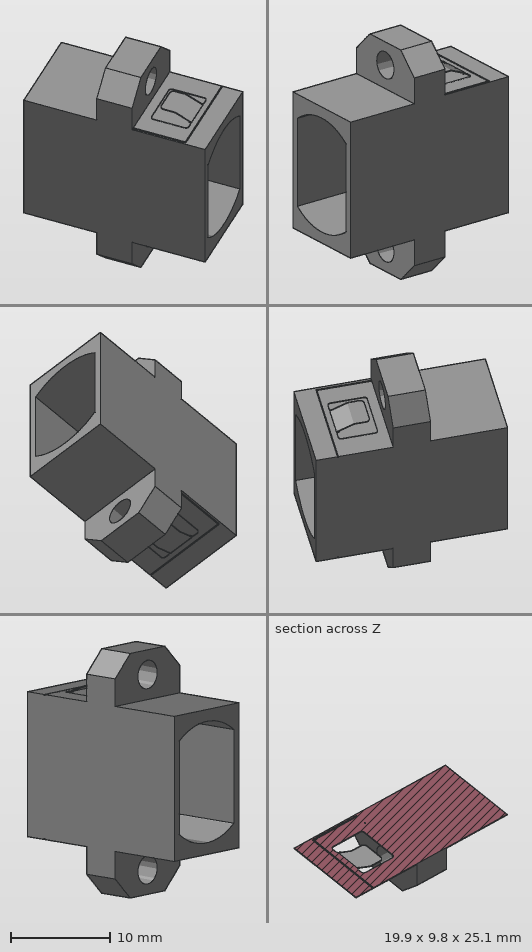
import cadquery as cq

body_length = 19.87
width = 9.8
body_height = 14.91
flange_thickness = 3.87
flange_height = 25.15
flange_chamfer = 2.3
mount_hole_diameter = 2.92
mount_hole_height = 10.03

opening_width = 8.25
opening_height = 12.5
opening_side_height = 9.63

sheet_thickness = 0.1
groove_width = 0.08
clip_end_x = 7.7
clip_side_y = -4.65

window_start_x = 2.95
window_end_x = 7.02
window_width = 5.08
tongue_tip_x = 3.52
tongue_bend_x = 5.2
tongue_width = 3.02
tongue_rise = 0.75
corner_radius = 0.3
tip_radius = 0.43
bend_inner_radius = 0.3

body_top = body_height / 2
clip_floor = body_top - sheet_thickness
flange_face_x = flange_thickness / 2


def box_between(x0, x1, y0, y1, z0, z1):
    """Box given by its limits along each axis."""
    return cq.Workplane("XY").box(x1 - x0, y1 - y0, z1 - z0, centered=False).translate((x0, y0, z0))


def make_housing():
    """Body with the chamfered flange and its two mounting holes."""
    flange = (
        cq.Workplane("XY")
        .box(flange_thickness, width, flange_height)
        .edges("|X")
        .chamfer(flange_chamfer)
    )
    holes = (
        cq.Workplane("YZ")
        .pushPoints([(0, mount_hole_height), (0, -mount_hole_height)])
        .circle(mount_hole_diameter / 2)
        .extrude(flange_thickness, both=True)
    )
    return cq.Workplane("XY").box(body_length, width, body_height).union(flange.cut(holes))


def make_opening():
    """Arched passage along the full body length."""
    half_width = opening_width / 2
    half_side = opening_side_height / 2
    half_height = opening_height / 2
    return (
        cq.Workplane("YZ")
        .moveTo(-half_width, -half_side)
        .lineTo(-half_width, half_side)
        .threePointArc((0, half_height), (half_width, half_side))
        .lineTo(half_width, -half_side)
        .threePointArc((0, -half_height), (-half_width, -half_side))
        .close()
        .extrude(body_length, both=True)
    )


def make_clip_groove():
    """Thin L-shaped gap around the edge of the clip."""
    outside = box_between(flange_face_x, clip_end_x, clip_side_y, width / 2, clip_floor, body_top)
    inside = box_between(
        flange_face_x, clip_end_x - groove_width,
        clip_side_y + groove_width, width / 2,
        clip_floor, body_top,
    )
    return outside.cut(inside)


def make_clip_window():
    """C-shaped pocket with rounded corners, one sheet thickness deep."""
    half_window = window_width / 2
    half_tongue = tongue_width / 2
    frame = box_between(window_start_x, window_end_x, -half_window, half_window, clip_floor, body_top)
    root = box_between(tongue_tip_x, window_end_x, -half_tongue, half_tongue, clip_floor, body_top)
    root = root.edges("|Z and <X").fillet(tip_radius)
    return frame.cut(root).edges("|Z and (<X or >X)").fillet(corner_radius)


def make_tongue():
    """Bent sheet rising from its root and running level to a rounded tip."""
    raised_top = body_top + tongue_rise
    raised_bottom = raised_top - sheet_thickness
    profile = (
        cq.Workplane("XZ")
        .moveTo(window_end_x, body_top)
        .lineTo(tongue_bend_x, raised_top)
        .lineTo(tongue_tip_x, raised_top)
        .lineTo(tongue_tip_x, raised_bottom)
        .lineTo(tongue_bend_x, raised_bottom)
        .lineTo(window_end_x, clip_floor)
        .close()
    )
    tongue = profile.extrude(tongue_width / 2, both=True)
    outer_bend = cq.NearestToPointSelector((tongue_bend_x, 0, raised_top))
    inner_bend = cq.NearestToPointSelector((tongue_bend_x, 0, raised_bottom))
    tongue = tongue.edges(outer_bend).fillet(bend_inner_radius + sheet_thickness)
    tongue = tongue.edges(inner_bend).fillet(bend_inner_radius)
    return tongue.edges("|Z and <X").fillet(tip_radius)


def make_under_tongue_pocket():
    """Space left in the sheet where the tongue is bent up."""
    half_tongue = tongue_width / 2
    return box_between(tongue_tip_x, window_end_x, -half_tongue, half_tongue, clip_floor, body_top)


def on_both_faces(shape):
    """The shape together with its mirror image below the XY plane."""
    return shape.union(shape.mirror("XY"))


result = make_housing().cut(make_opening())
for recess in (make_clip_groove(), make_clip_window(), make_under_tongue_pocket()):
    result = result.cut(on_both_faces(recess))
result = result.union(on_both_faces(make_tongue()))